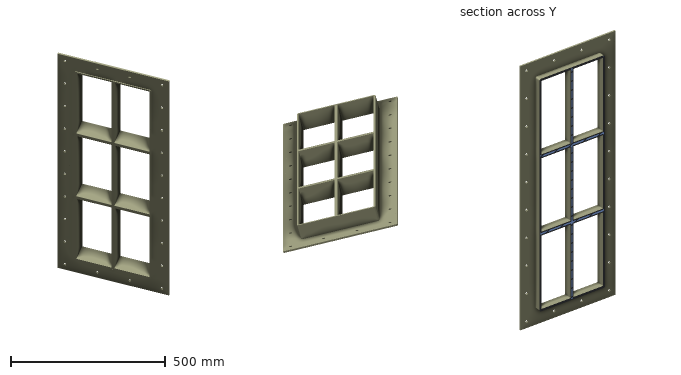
import cadquery as cq

FLANGE_WIDTH = 383.0
FLANGE_HEIGHT = 990.0
FLANGE_THICKNESS = 6.0

FLANGE_MARGIN = 60.0
DUCT_WIDTH = FLANGE_WIDTH - 2 * FLANGE_MARGIN
DUCT_HEIGHT = FLANGE_HEIGHT - 2 * FLANGE_MARGIN
DUCT_DEPTH = 60.0
DUCT_WALL = 6.0
DUCT_CORNER_RADIUS = 6.0
DUCT_PROTRUSION = 3.0

OPENING_COLUMNS = 2
OPENING_ROWS = 3
UPRIGHT_BAR_THICKNESS = 10.0
CROSS_BAR_THICKNESS = 12.0

HOLE_DIAMETER = 10.0
HOLE_EDGE_DISTANCE = 25.0
HOLE_COLUMNS = 4
HOLE_ROWS = 10

DUCT_FRONT = -DUCT_DEPTH / 2
FLANGE_FRONT = DUCT_FRONT + DUCT_PROTRUSION


def front_plane(y):
    """Workplane at the given Y whose normal points to +Y, local y along -Z."""
    return cq.Workplane(cq.Plane(origin=(0, y, 0), xDir=(1, 0, 0), normal=(0, 1, 0)))


def hole_positions():
    """Centres of the evenly pitched holes along the four flange edges."""
    pitch_x = (FLANGE_WIDTH - 2 * HOLE_EDGE_DISTANCE) / (HOLE_COLUMNS - 1)
    pitch_z = (FLANGE_HEIGHT - 2 * HOLE_EDGE_DISTANCE) / (HOLE_ROWS - 1)
    positions = []
    for column in range(HOLE_COLUMNS):
        for row in range(HOLE_ROWS):
            if column in (0, HOLE_COLUMNS - 1) or row in (0, HOLE_ROWS - 1):
                x = (column - (HOLE_COLUMNS - 1) / 2) * pitch_x
                z = (row - (HOLE_ROWS - 1) / 2) * pitch_z
                positions.append((x, z))
    return positions


def make_flange():
    plate = front_plane(FLANGE_FRONT).rect(FLANGE_WIDTH, FLANGE_HEIGHT).extrude(FLANGE_THICKNESS)
    holes = (
        front_plane(FLANGE_FRONT)
        .pushPoints(hole_positions())
        .circle(HOLE_DIAMETER / 2)
        .extrude(FLANGE_THICKNESS)
    )
    return plate.cut(holes)


def make_duct_block():
    """Outer envelope of the duct, with rounded long edges."""
    block = front_plane(DUCT_FRONT).rect(DUCT_WIDTH, DUCT_HEIGHT).extrude(DUCT_DEPTH)
    return block.edges("|Y").fillet(DUCT_CORNER_RADIUS)


def make_openings():
    """Equal rectangular openings that leave the duct walls and dividing bars."""
    bars_width = (OPENING_COLUMNS - 1) * UPRIGHT_BAR_THICKNESS
    bars_height = (OPENING_ROWS - 1) * CROSS_BAR_THICKNESS
    opening_width = (DUCT_WIDTH - 2 * DUCT_WALL - bars_width) / OPENING_COLUMNS
    opening_height = (DUCT_HEIGHT - 2 * DUCT_WALL - bars_height) / OPENING_ROWS
    return (
        front_plane(DUCT_FRONT)
        .rarray(
            opening_width + UPRIGHT_BAR_THICKNESS,
            opening_height + CROSS_BAR_THICKNESS,
            OPENING_COLUMNS,
            OPENING_ROWS,
        )
        .rect(opening_width, opening_height)
        .extrude(DUCT_DEPTH)
    )


result = make_flange().union(make_duct_block()).cut(make_openings())